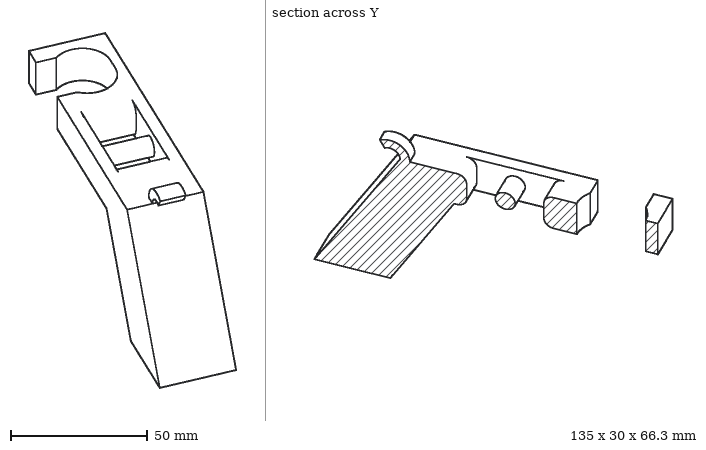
import cadquery as cq
import math

total_length = 135.0
width = 30.0
arm_thickness = 15.0
arm_top = 58.3
leg_length = 30.0
leg_tilt = 30.0

clip_center_x = 18.4
clip_arc_diameter = 22.0
clip_flat_length = 5.0
clip_mouth_width = 21.9

window_center_x = 60.0
window_length = 38.1
window_width = 20.0
bar_diameter = 8.0
rim_radius = bar_diameter / 2

hook_outer_radius = 8.0
hook_inner_radius = hook_outer_radius / 2
hook_width = 10.0
hook_tip_angle = 60.0

mid_y = width / 2
arm_bottom = arm_top - arm_thickness
bar_z = arm_bottom + arm_thickness / 2
window_start_y = mid_y - window_width / 2
slope = math.tan(math.radians(leg_tilt))
bend_x = total_length - arm_top * slope
inner_bend_x = total_length - leg_length - arm_bottom * slope


def make_body():
    """Horizontal arm and slanted leg as one profile."""
    outline = [
        (0, arm_bottom),
        (0, arm_top),
        (bend_x, arm_top),
        (total_length, 0),
        (total_length - leg_length, 0),
        (inner_bend_x, arm_bottom),
    ]
    return cq.Workplane("XZ").polyline(outline).close().extrude(-width)


def make_clip_opening():
    """Rounded slot through the arm with a mouth open towards -Y."""
    base = cq.Workplane("XY", origin=(clip_center_x, mid_y, arm_bottom))
    slot = base.slot2D(clip_flat_length + clip_arc_diameter, clip_arc_diameter).extrude(arm_thickness)
    mouth = base.center(0, -mid_y / 2).rect(clip_mouth_width, mid_y).extrude(arm_thickness)
    return slot.union(mouth)


def make_window():
    """Window whose end walls are rounded over at the top and bottom rims."""
    half_rim = window_length / 2
    half_throat = half_rim - rim_radius
    half_height = arm_thickness / 2
    half_flat = half_height - rim_radius
    mid_arc = rim_radius * math.sqrt(0.5)
    arc_mid = (half_rim - mid_arc, half_flat + mid_arc)
    return (
        cq.Workplane("XZ", origin=(window_center_x, window_start_y, bar_z))
        .moveTo(-half_rim, half_height)
        .lineTo(half_rim, half_height)
        .threePointArc(arc_mid, (half_throat, half_flat))
        .lineTo(half_throat, -half_flat)
        .threePointArc((arc_mid[0], -arc_mid[1]), (half_rim, -half_height))
        .lineTo(-half_rim, -half_height)
        .threePointArc((-arc_mid[0], -arc_mid[1]), (-half_throat, -half_flat))
        .lineTo(-half_throat, half_flat)
        .threePointArc((-arc_mid[0], arc_mid[1]), (-half_rim, half_height))
        .close()
        .extrude(-window_width)
    )


def make_bar():
    """Round bar across the middle of the window, halfway up the arm."""
    bar = cq.Workplane("XZ", origin=(window_center_x, window_start_y, bar_z))
    return bar.circle(bar_diameter / 2).extrude(-window_width)


def make_hook():
    """Curved finger rising from the bend and reaching over the leg."""
    center_x = bend_x + hook_inner_radius

    def arc_point(radius, degrees):
        angle = math.radians(degrees)
        return (center_x + radius * math.cos(angle), arm_top + radius * math.sin(angle))

    middle_angle = (180 + hook_tip_angle) / 2
    return (
        cq.Workplane("XZ", origin=(0, mid_y - hook_width / 2, 0))
        .moveTo(*arc_point(hook_outer_radius, 180))
        .threePointArc(arc_point(hook_outer_radius, middle_angle), arc_point(hook_outer_radius, hook_tip_angle))
        .lineTo(*arc_point(hook_inner_radius, hook_tip_angle))
        .threePointArc(arc_point(hook_inner_radius, middle_angle), arc_point(hook_inner_radius, 180))
        .close()
        .extrude(-hook_width)
    )


result = make_body().cut(make_clip_opening()).cut(make_window()).union(make_bar()).union(make_hook())